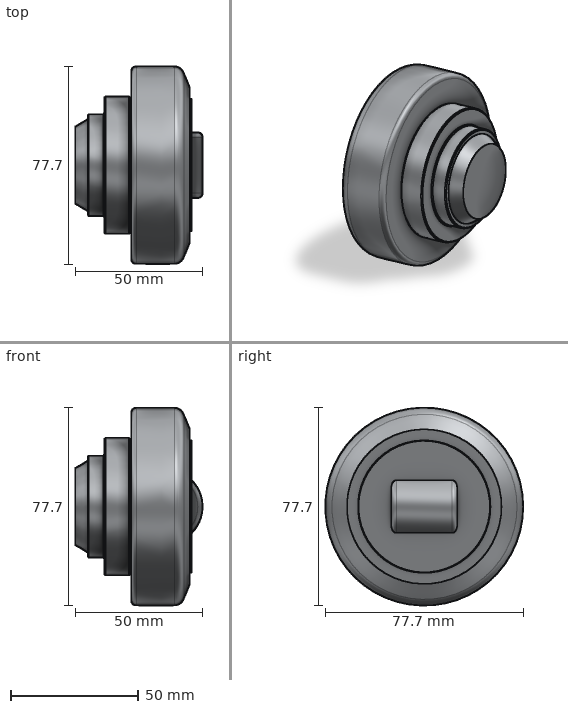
import cadquery as cq
import math


tip_radius = 15.1
taper_end_radius = 18.0
taper_length = 5.0
pin_radius = 40.0 / 2
pin_end = 11.5
edge_chamfer = 0.5

flange_radius = 54.0 / 2
flange_end = 21.5
neck_radius = 52.0 / 2

roller_radius = 38.85
roller_start = 22.0
roller_end = 45.1
front_fillet = 2.0
rim_end = 38.85
rim_crown = 0.1
rear_fillet = 8.0 / 2
rear_face_radius = 30.3
rear_cone_angle = math.radians(68)

cover_end = 45.8
cover_chamfer = 0.2

overall_length = 50.0
lug_radius = 14.6
lug_width = 25.8
lug_fillet = 2.0


def arc_point(center_x, center_r, radius, angle):
    """Point on an arc, with the angle measured from the outward radial direction toward +X."""
    return (center_x + radius * math.sin(angle), center_r + radius * math.cos(angle))


def make_turned_body():
    """Pin, flange, roller and cover revolved about X."""
    rim_start = roller_start + front_fillet
    rim_edge_radius = roller_radius - rim_crown
    front_center_r = rim_edge_radius - front_fillet
    rear_center_r = rim_edge_radius - rear_fillet
    profile = (
        cq.Workplane("XY")
        .moveTo(0, 0)
        .lineTo(0, tip_radius)
        .lineTo(taper_length, taper_end_radius)
        .lineTo(taper_length, pin_radius - edge_chamfer)
        .lineTo(taper_length + edge_chamfer, pin_radius)
        .lineTo(pin_end - edge_chamfer, pin_radius)
        .lineTo(pin_end, pin_radius + edge_chamfer)
        .lineTo(pin_end, flange_radius - edge_chamfer)
        .lineTo(pin_end + edge_chamfer, flange_radius)
        .lineTo(flange_end - edge_chamfer, flange_radius)
        .lineTo(flange_end, flange_radius - edge_chamfer)
        .lineTo(flange_end, neck_radius)
        .lineTo(roller_start, neck_radius)
        .lineTo(roller_start, front_center_r)
        .threePointArc(
            arc_point(rim_start, front_center_r, front_fillet, -math.pi / 4),
            (rim_start, rim_edge_radius),
        )
        .threePointArc(((rim_start + rim_end) / 2, roller_radius), (rim_end, rim_edge_radius))
        .threePointArc(
            arc_point(rim_end, rear_center_r, rear_fillet, rear_cone_angle / 2),
            arc_point(rim_end, rear_center_r, rear_fillet, rear_cone_angle),
        )
        .lineTo(roller_end, rear_face_radius)
        .lineTo(roller_end, neck_radius)
        .lineTo(cover_end - cover_chamfer, neck_radius)
        .lineTo(cover_end, neck_radius - cover_chamfer)
        .lineTo(cover_end, 0)
        .close()
    )
    return profile.revolve(360, (0, 0, 0), (1, 0, 0))


def make_lug():
    """Round-edged disc whose lower part is sunk inside the roller."""
    return (
        cq.Workplane("XZ")
        .center(overall_length - lug_radius, 0)
        .circle(lug_radius)
        .extrude(lug_width / 2, both=True)
        .edges("%CIRCLE")
        .fillet(lug_fillet)
    )


result = make_turned_body().union(make_lug())